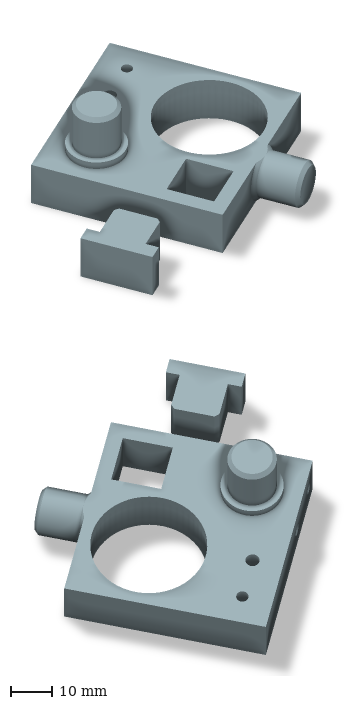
import cadquery as cq

plate_side = 50.0
thickness = 12.0

peg_diameter = thickness
peg_length = 12.05
peg_radius = peg_diameter / 2
edge_chamfer = 1.0

upright_peg_x = 12.3
upright_peg_y = 11.6
collar_diameter = 15.25
collar_height = 2.0

side_peg_y = plate_side / 2
mid_height = thickness / 2

bore_center = 33.0
bore_diameter = 28.3
window_x = 39.95
window_y = 10.1
window_side = 12.4

narrow_diameter = 3.0
wide_diameter = 3.4
top_holes_x = 7.55
narrow_top_y = 42.6
wide_top_y = 31.7
narrow_side_y = 4.05
wide_side_y = 16.45
side_hole_depth = 10.0

block_x = 31.0
overall_length = 71.2
block_front_y = plate_side - overall_length
block_base_width = 18.8
block_base_length = 4.0
tongue_width = thickness
tongue_length = 10.0


def make_upright_peg():
    """Collar and chamfered peg standing on the top face."""
    return (
        cq.Workplane("XY", origin=(upright_peg_x, upright_peg_y, thickness))
        .circle(collar_diameter / 2)
        .extrude(collar_height)
        .faces(">Z")
        .workplane()
        .circle(peg_radius)
        .extrude(peg_length)
        .faces(">Z")
        .chamfer(edge_chamfer)
    )


def make_side_peg():
    """Peg with a conical root, which is cut level with the top and bottom of the plate."""
    peg = (
        cq.Workplane("XY", origin=(plate_side, side_peg_y, mid_height))
        .lineTo(0, peg_radius + edge_chamfer)
        .lineTo(edge_chamfer, peg_radius)
        .lineTo(peg_length - edge_chamfer, peg_radius)
        .lineTo(peg_length, peg_radius - edge_chamfer)
        .lineTo(peg_length, 0)
        .close()
        .revolve(360, (0, 0), (1, 0))
    )
    plate_layer = cq.Workplane("XY", origin=(plate_side, side_peg_y, mid_height)).box(
        2 * peg_length, plate_side, thickness
    )
    return peg.intersect(plate_layer)


def through_hole(x, y, diameter):
    """Cutter for a round hole through the plate."""
    return cq.Workplane("XY").center(x, y).circle(diameter / 2).extrude(thickness)


def side_hole(y, diameter):
    """Cutter for a blind hole from the -X side at mid height."""
    return (
        cq.Workplane("YZ")
        .center(y, mid_height)
        .circle(diameter / 2)
        .extrude(side_hole_depth)
    )


def make_plate():
    plate = cq.Workplane("XY").rect(plate_side, plate_side, centered=False).extrude(thickness)
    plate = plate.union(make_upright_peg()).union(make_side_peg())

    window = (
        cq.Workplane("XY")
        .center(window_x, window_y)
        .rect(window_side, window_side)
        .extrude(thickness)
    )
    cutters = [
        through_hole(bore_center, bore_center, bore_diameter),
        through_hole(top_holes_x, narrow_top_y, narrow_diameter),
        through_hole(top_holes_x, wide_top_y, wide_diameter),
        side_hole(narrow_side_y, narrow_diameter),
        side_hole(wide_side_y, wide_diameter),
        window,
    ]
    for cutter in cutters:
        plate = plate.cut(cutter)
    return plate


def make_block():
    """Wide base with a narrower tongue towards the plate, chamfered at its two end corners."""
    origin = (block_x, block_front_y, 0)
    block_length = block_base_length + tongue_length
    base = (
        cq.Workplane("XY", origin=origin)
        .center(0, block_base_length / 2)
        .rect(block_base_width, block_base_length)
        .extrude(thickness)
    )
    tongue = (
        cq.Workplane("XY", origin=origin)
        .center(0, block_length / 2)
        .rect(tongue_width, block_length)
        .extrude(thickness)
        .faces(">Y")
        .edges("|Z")
        .chamfer(edge_chamfer)
    )
    return base.union(tongue)


plate = make_plate()
block = make_block()

result = cq.Compound.makeCompound([plate.solids().val(), block.solids().val()])